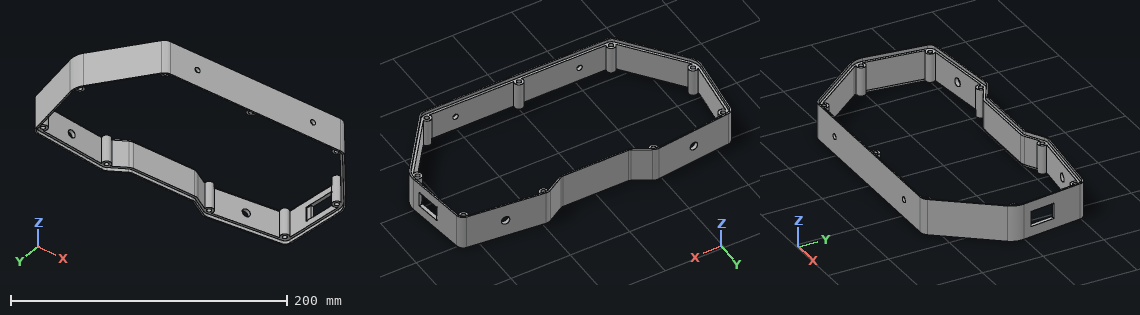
import cadquery as cq

height = 29.5
wall = 3.5
rim_width = 1.5
rim_step = 3.0
mid_height = height / 2

front_corner = (80.5, 0.0, 7.3)
side_corner = (122.8, 54.2, 15.9)
back_corner = (115.0, 115.5, 6.0)
peak_corner = (45.2, 123.0, 7.3)
notch_corner = (28.5, 113.3, 3.7)
half_corners = [front_corner, side_corner, back_corner, peak_corner, notch_corner]

boss_diameter = 7.5
boss_hole_diameter = 3.7
boss_centers = [
    (0.0, 5.1),
    (77.7, 5.1), (-77.7, 5.1),
    (115.8, 56.0), (-116.0, 56.7),
    (109.5, 110.1), (-109.5, 110.1),
    (46.5, 117.5), (-46.5, 117.5),
]

front_hole_diameter = 4.5
front_hole_x = 52.3
back_hole_diameter = 6.5
back_hole_x = 79.4
cut_length = 3 * wall

window_width = 20.5
window_height = 12.5
window_position = 0.38
recess_margin = 4.2
recess_depth = 1.0


def outline_solid():
    """Full-height block bounded by the outer outline, with its corners rounded."""
    mirrored = [(-x, y, radius) for x, y, radius in reversed(half_corners)]
    corners = half_corners + mirrored
    block = cq.Workplane("XY").polyline([(x, y) for x, y, _ in corners]).close().extrude(height)
    for x, y, radius in corners:
        block = block.edges(cq.selectors.NearestToPointSelector((x, y, mid_height))).fillet(radius)
    return block


def inset_solid(block, inset, bottom, top):
    """Block whose outline lies a distance inside the outer outline."""
    outline = block.faces("<Z").wires().val().offset2D(-inset)[0]
    face = cq.Face.makeFromWires(outline)
    solid = cq.Solid.extrudeLinear(face, cq.Vector(0, 0, top - bottom))
    return cq.Workplane(obj=solid.translate(cq.Vector(0, 0, bottom)))


def wall_plane(start, end, fraction):
    """Plane on the outer face of a wall at mid height, its normal pointing outward.

    The wall runs from start to end counter-clockwise around the part.
    """
    dx = end[0] - start[0]
    dy = end[1] - start[1]
    origin = (start[0] + fraction * dx, start[1] + fraction * dy, mid_height)
    return cq.Plane(origin=origin, xDir=(dx, dy, 0), normal=(dy, -dx, 0))


def mirror_corner(corner):
    return (-corner[0], corner[1])


block = outline_solid()
outer_rim = block.cut(inset_solid(block, rim_width, 0, height))
core = inset_solid(block, rim_width, rim_step, height - rim_step)
inner_wall = core.cut(inset_solid(block, wall, 0, height))
shell = outer_rim.union(inner_wall)

boss_plane = cq.Workplane("XY").workplane(offset=rim_step).pushPoints(boss_centers)
bosses = boss_plane.circle(boss_diameter / 2).extrude(height - 2 * rim_step).intersect(core)
boss_holes = boss_plane.circle(boss_hole_diameter / 2).extrude(height - 2 * rim_step)
shell = shell.union(bosses).cut(boss_holes)

front_plane = cq.Workplane(wall_plane(mirror_corner(front_corner), front_corner, 0.5))
front_points = [(-front_hole_x, 0), (front_hole_x, 0)]
shell = shell.cut(front_plane.pushPoints(front_points).circle(front_hole_diameter / 2).extrude(-cut_length))

back_walls = [
    (back_corner, peak_corner, back_hole_x),
    (mirror_corner(peak_corner), mirror_corner(back_corner), -back_hole_x),
]
for start, end, hole_x in back_walls:
    hole_fraction = (hole_x - start[0]) / (end[0] - start[0])
    back_plane = cq.Workplane(wall_plane(start, end, hole_fraction))
    shell = shell.cut(back_plane.circle(back_hole_diameter / 2).extrude(-cut_length))

side_plane = cq.Workplane(wall_plane(side_corner, back_corner, window_position))
window = side_plane.rect(window_width, window_height).extrude(-cut_length)
recess = (
    side_plane.workplane(offset=recess_depth - wall)
    .rect(window_width + 2 * recess_margin, window_height)
    .extrude(-wall)
)
result = shell.cut(window).cut(recess)